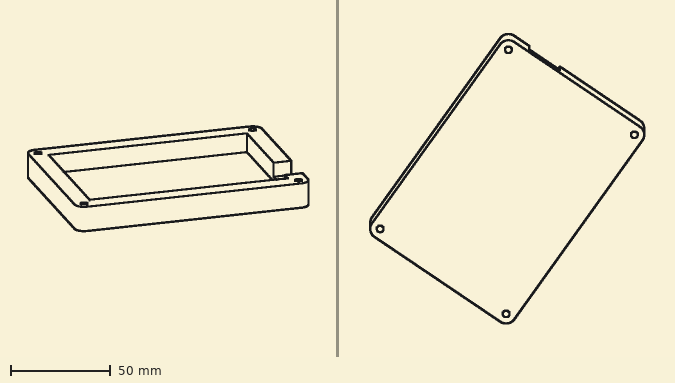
import cadquery as cq

WIDTH = 86.75
LENGTH = 122.5
HEIGHT = 13.0
CORNER_RADIUS = 5.0

WALL = 9.25
FLOOR = 3.0
POCKET_WIDTH = WIDTH - 2 * WALL
POCKET_LENGTH = LENGTH - 2 * WALL

NOTCH_WIDTH = 18.6
NOTCH_DEPTH = 7.5
NOTCH_TO_POCKET_SIDE = 5.0

HOLE_DIAMETER = 3.4
HOLE_INSET = CORNER_RADIUS


def make_block():
    """Plate with rounded vertical corners, standing on Z = 0."""
    block = cq.Workplane("XY").box(WIDTH, LENGTH, HEIGHT, centered=(True, True, False))
    return block.edges("|Z").fillet(CORNER_RADIUS)


def make_pocket():
    """Volume removed from the top, down to the floor."""
    pocket = cq.Workplane("XY").workplane(offset=FLOOR)
    return pocket.box(POCKET_WIDTH, POCKET_LENGTH, HEIGHT - FLOOR, centered=(True, True, False))


def make_notch():
    """Volume removed from the +Y wall, near the +X side of the pocket."""
    center_x = POCKET_WIDTH / 2 - NOTCH_TO_POCKET_SIDE - NOTCH_WIDTH / 2
    center_y = (LENGTH - WALL) / 2
    notch = cq.Workplane("XY").workplane(offset=HEIGHT - NOTCH_DEPTH).center(center_x, center_y)
    return notch.box(NOTCH_WIDTH, WALL, NOTCH_DEPTH, centered=(True, True, False))


def make_holes():
    """Four through holes, one at each corner."""
    spacing_x = WIDTH - 2 * HOLE_INSET
    spacing_y = LENGTH - 2 * HOLE_INSET
    holes = cq.Workplane("XY").rect(spacing_x, spacing_y, forConstruction=True).vertices()
    return holes.circle(HOLE_DIAMETER / 2).extrude(HEIGHT)


result = make_block().cut(make_pocket()).cut(make_notch()).cut(make_holes())